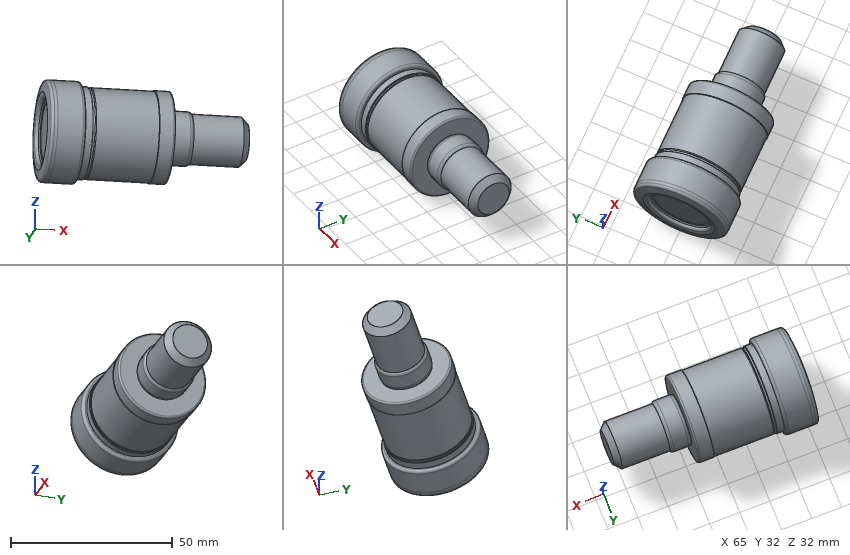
import cadquery as cq
import math

TOTAL_LENGTH = 65.0
CAP_LENGTH = 11.55
COLLAR_END = 14.05
GROOVE_END = 14.7
BARREL_START = 15.1
REAR_BAND_START = 34.9
HOUSING_END = 40.0
SHOULDER_START = 40.3
SHOULDER_END = 47.05

CAP_RADIUS = 16.0
CAP_BORE_RADIUS = 10.15
RIM_RADIUS = 12.2
FACE_EDGE_RADIUS = 15.3
FACE_EDGE_X = 0.5
FRONT_ROUND_END = 1.55
CAP_TAPER_END = 2.6
CAP_TAPER = 0.05
MOUTH_RADIUS = 10.85
MOUTH_X = 0.25
CAP_REAR_ROUND = 1.0

BAND_RADIUS = 29.0 / 2
BARREL_RADIUS = 28.6 / 2
GROOVE_RADIUS = 14.15
BAND_STEP = 0.1
HOUSING_END_ROUND = 0.6
SHOULDER_RADIUS = 17.0 / 2
SHOULDER_FRONT_CHAMFER_LENGTH = 0.8
SHOULDER_FRONT_CHAMFER_DEPTH = 0.2
STUD_RADIUS = 15.7 / 2
SHOULDER_REAR_LENGTH = 1.2
STUD_CHAMFER = 2.15

PLUG_X = 1.3
RECESS_LIP = 0.4
RECESS_RADIUS = CAP_BORE_RADIUS - RECESS_LIP
RECESS_FLOOR_CHAMFER_WIDTH = 0.45
RECESS_FLOOR_CHAMFER_LENGTH = 0.2
RECESS_DEPTH = 0.65
RECESS_FLOOR_X = PLUG_X + RECESS_DEPTH


def revolve_about_x(profile):
    """Turn a closed profile in the XY plane about the X axis."""
    return profile.close().revolve(360, (0, 0, 0), (1, 0, 0))


def make_cap():
    """Ring with a double-cone front face, pushed over the front of the housing."""
    mouth_run = PLUG_X - MOUTH_X
    mouth_drop = MOUTH_RADIUS - CAP_BORE_RADIUS
    front_round = FRONT_ROUND_END - FACE_EDGE_X
    taper_radius = CAP_RADIUS - CAP_TAPER
    front_rise = taper_radius - FACE_EDGE_RADIUS
    quarter_arc = math.sqrt(0.5)
    profile = (
        cq.Workplane("XY")
        .moveTo(CAP_LENGTH, CAP_BORE_RADIUS)
        .lineTo(PLUG_X, CAP_BORE_RADIUS)
        .threePointArc(
            (PLUG_X - mouth_run * quarter_arc, MOUTH_RADIUS - mouth_drop * quarter_arc),
            (MOUTH_X, MOUTH_RADIUS),
        )
        .lineTo(0, RIM_RADIUS)
        .lineTo(FACE_EDGE_X, FACE_EDGE_RADIUS)
        .threePointArc(
            (FRONT_ROUND_END - front_round * quarter_arc, FACE_EDGE_RADIUS + front_rise * quarter_arc),
            (FRONT_ROUND_END, taper_radius),
        )
        .lineTo(CAP_TAPER_END, CAP_RADIUS)
        .lineTo(CAP_LENGTH - CAP_REAR_ROUND, CAP_RADIUS)
        .radiusArc((CAP_LENGTH, CAP_RADIUS - CAP_REAR_ROUND), CAP_REAR_ROUND)
    )
    return revolve_about_x(profile)


def make_housing():
    """Stepped cylinder with its stud; the front plug fills the bore of the cap."""
    shoulder_drop = SHOULDER_RADIUS - STUD_RADIUS
    shoulder_round_radius = (SHOULDER_REAR_LENGTH**2 + shoulder_drop**2) / (2 * shoulder_drop)
    profile = (
        cq.Workplane("XY")
        .moveTo(RECESS_FLOOR_X, 0)
        .lineTo(RECESS_FLOOR_X, RECESS_RADIUS - RECESS_FLOOR_CHAMFER_WIDTH)
        .lineTo(RECESS_FLOOR_X - RECESS_FLOOR_CHAMFER_LENGTH, RECESS_RADIUS)
        .lineTo(PLUG_X + RECESS_LIP, RECESS_RADIUS)
        .radiusArc((PLUG_X, CAP_BORE_RADIUS), RECESS_LIP)
        .lineTo(CAP_LENGTH, CAP_BORE_RADIUS)
        .lineTo(CAP_LENGTH, BAND_RADIUS)
        .lineTo(COLLAR_END - BAND_STEP, BAND_RADIUS)
        .lineTo(COLLAR_END, GROOVE_RADIUS)
        .lineTo(GROOVE_END, GROOVE_RADIUS)
        .lineTo(BARREL_START, BARREL_RADIUS)
        .lineTo(REAR_BAND_START, BARREL_RADIUS)
        .lineTo(REAR_BAND_START + BAND_STEP, BAND_RADIUS)
        .lineTo(HOUSING_END - HOUSING_END_ROUND, BAND_RADIUS)
        .radiusArc((HOUSING_END, BAND_RADIUS - HOUSING_END_ROUND), HOUSING_END_ROUND)
        .lineTo(HOUSING_END, SHOULDER_RADIUS - SHOULDER_FRONT_CHAMFER_DEPTH)
        .lineTo(SHOULDER_START, SHOULDER_RADIUS - SHOULDER_FRONT_CHAMFER_DEPTH)
        .lineTo(SHOULDER_START + SHOULDER_FRONT_CHAMFER_LENGTH, SHOULDER_RADIUS)
        .lineTo(SHOULDER_END - SHOULDER_REAR_LENGTH, SHOULDER_RADIUS)
        .radiusArc((SHOULDER_END, STUD_RADIUS), shoulder_round_radius)
        .lineTo(TOTAL_LENGTH - STUD_CHAMFER, STUD_RADIUS)
        .lineTo(TOTAL_LENGTH, STUD_RADIUS - STUD_CHAMFER)
        .lineTo(TOTAL_LENGTH, 0)
    )
    return revolve_about_x(profile)


cap = make_cap()
housing = make_housing()

result = cq.Compound.makeCompound([cap.val(), housing.val()])